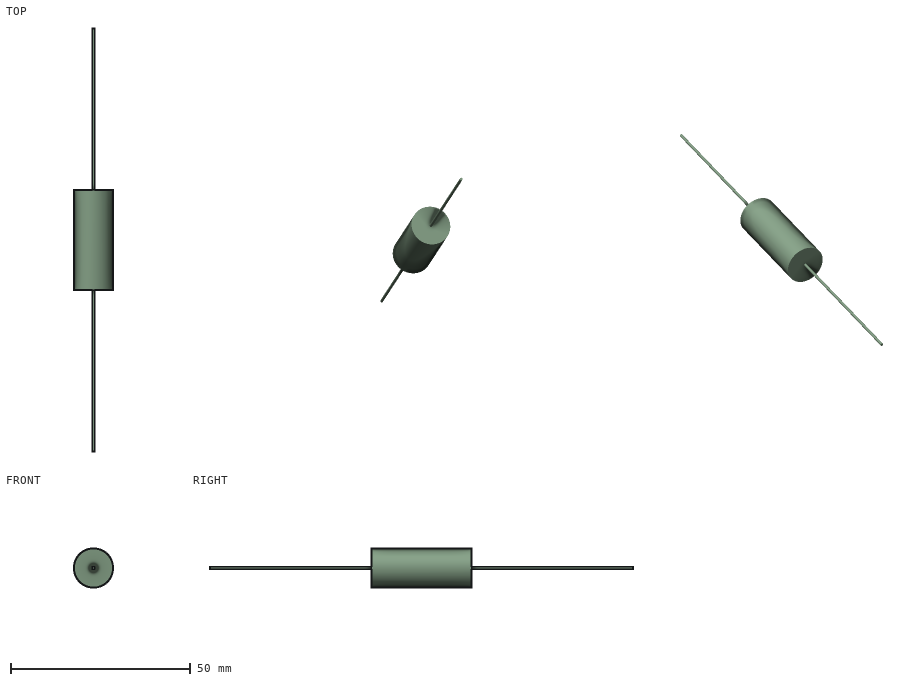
import cadquery as cq

body_diameter = 11.0
body_length = 28.0
overall_length = 118.0
lead_diameter = 0.8


def cylinder_along_y(diameter, length):
    """Cylinder on the Y axis, centred on the origin."""
    start_plane = cq.Workplane("XZ", origin=(0, length / 2, 0))
    return start_plane.circle(diameter / 2).extrude(length)


body = cylinder_along_y(body_diameter, body_length)

leads = cylinder_along_y(lead_diameter, overall_length)

result = body.union(leads)